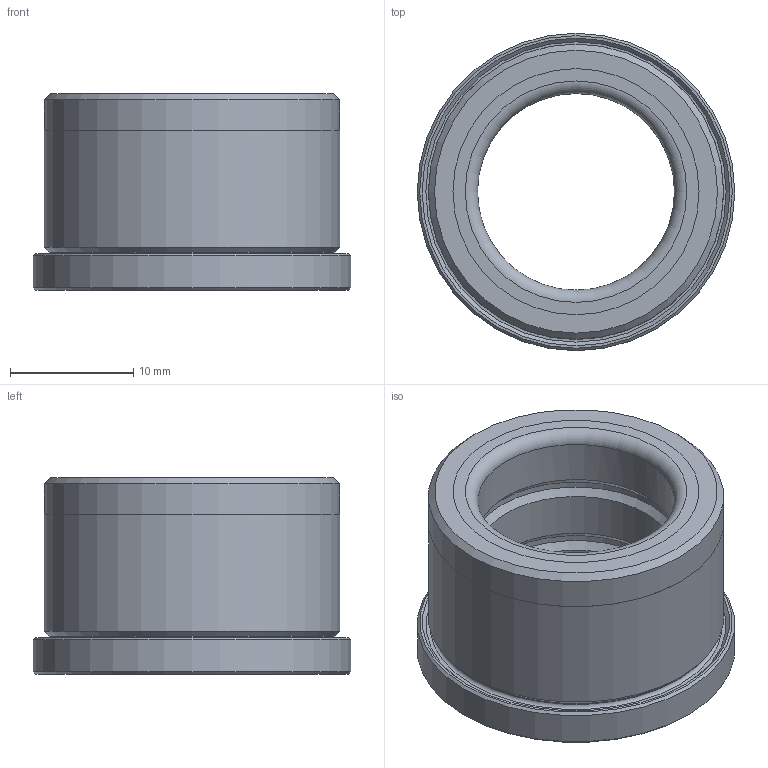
import cadquery as cq
import math

length = 16.0
bore_radius = 8.0
liner_radius = 10.0
body_radius = 12.0
flange_radius = 12.9
flange_height = 3.0

lead_length = 3.0
lead_clearance = 0.005
lead_chamfer = 0.5
flange_chamfer = 0.2

relief_reach = 0.5
body_relief_depth = 0.4
face_relief_depth = 0.3
relief_fillet = 0.3

mouth_radius = 1.0
groove_count = 2
groove_depth = 0.5
groove_floor_height = 0.5
flank_angle = 40.0


def fillet_middle(center, radius):
    """Midpoint of a concave quarter arc that opens up and outward from a corner."""
    offset = radius * math.sqrt(0.5)
    return (center[0] - offset, center[1] - offset)


def make_sleeve():
    """Flanged sleeve, revolved about Z from its half section in radius and height."""
    lead_radius = body_radius - lead_clearance
    lead_start = length - lead_length
    relief_radius = body_radius - body_relief_depth
    relief_floor = flange_height - face_relief_depth
    fillet_center = (relief_radius + relief_fillet, relief_floor + relief_fillet)
    section = (
        cq.Workplane("XZ")
        .moveTo(liner_radius, 0)
        .lineTo(flange_radius - flange_chamfer, 0)
        .lineTo(flange_radius, flange_chamfer)
        .lineTo(flange_radius, flange_height - flange_chamfer)
        .lineTo(flange_radius - flange_chamfer, flange_height)
        .lineTo(body_radius + relief_reach, flange_height)
        .lineTo(body_radius + relief_reach - face_relief_depth, relief_floor)
        .lineTo(fillet_center[0], relief_floor)
        .threePointArc(fillet_middle(fillet_center, relief_fillet), (relief_radius, fillet_center[1]))
        .lineTo(relief_radius, flange_height + relief_reach - body_relief_depth)
        .lineTo(body_radius, flange_height + relief_reach)
        .lineTo(body_radius, lead_start)
        .lineTo(lead_radius, lead_start)
        .lineTo(lead_radius, length - lead_chamfer)
        .lineTo(lead_radius - lead_chamfer, length)
        .lineTo(liner_radius, length)
        .close()
    )
    return section.revolve(360, (0, 0, 0), (0, 1, 0))


def make_groove_ring(middle_height):
    """Trapezoid ring that cuts one groove; its flanks run on inside the bore surface."""
    floor_radius = bore_radius + groove_depth
    inner_radius = bore_radius - groove_depth
    half_floor = groove_floor_height / 2
    half_inner = half_floor + (floor_radius - inner_radius) / math.tan(math.radians(flank_angle))
    section = cq.Workplane("XZ").polyline([
        (inner_radius, middle_height - half_inner),
        (floor_radius, middle_height - half_floor),
        (floor_radius, middle_height + half_floor),
        (inner_radius, middle_height + half_inner),
    ]).close()
    return section.revolve(360, (0, 0, 0), (0, 1, 0))


def make_liner():
    """Bearing liner filling the sleeve, with rounded mouths and grooves spaced evenly along the bore."""
    liner = cq.Workplane("XY").circle(liner_radius).circle(bore_radius).extrude(length)
    liner = liner.edges(cq.selectors.RadiusNthSelector(0)).fillet(mouth_radius)
    groove_pitch = length / (groove_count + 1)
    for index in range(groove_count):
        liner = liner.cut(make_groove_ring((index + 1) * groove_pitch))
    return liner


sleeve = make_sleeve()
liner = make_liner()

result = cq.Compound.makeCompound([sleeve.val(), liner.val()])